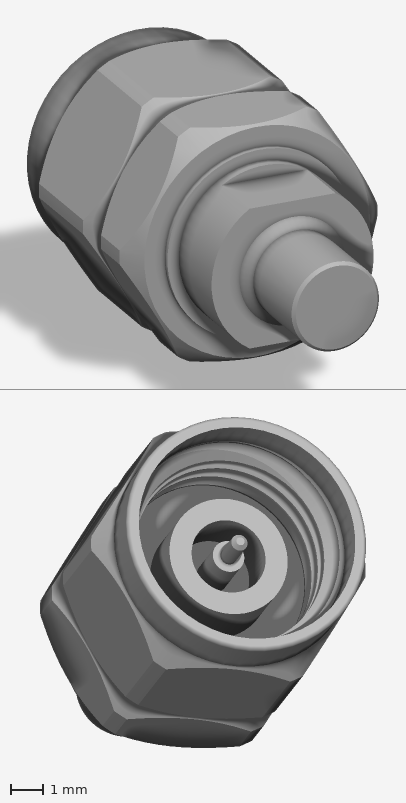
import cadquery as cq
import math

total_length = 14.61

nut_length = 8.77
across_flats = 7.92
across_corners = 8.88
rim_radius = 3.89
rim_length = 1.52
rim_fillet = 0.13
hex_split = 6.09
hex_chamfer_length = 0.66
hex_half_angle = 30.0

entry_radius = 3.5
entry_depth = 1.24
nut_floor = 4.38

thread_crest_radius = 3.01
thread_root_radius = 3.49
thread_pitch = 0.75
thread_crest_width = 0.09
thread_flank_angle = 30.0
thread_start = 0.94
thread_overcut = 0.07

collar_radius = 3.18
collar_end = 8.95
barrel_radius = 2.79
barrel_end = 11.37
barrel_flats = 4.73
barrel_flats_start = 9.3
taper_radius = 1.83
taper_end = 11.69
tail_radius = 1.5
tail_chamfer = 0.1

ferrule_radius = 1.91
ferrule_front = 2.15
socket_radius = 1.2
socket_depth = 1.9
boss_radius = 0.51
pin_radius = 0.26
pin_front = 0.76
pin_chamfer = 0.13


def cylinder(radius, start, end):
    """Solid cylinder on the X axis between two stations."""
    return cq.Workplane("YZ").workplane(offset=start).circle(radius).extrude(end - start)


def revolve_about_x(points):
    """Solid of revolution from (x, radius) points; the outline closes along the axis."""
    return cq.Workplane("XY").polyline(points).close().revolve(360, (0, 0, 0), (1, 0, 0))


def hex_section(start, end):
    """Hexagonal bar with flats facing up and down, and conical chamfers at both ends."""
    corner_diameter = across_flats / math.cos(math.radians(hex_half_angle))
    bar = cq.Workplane("YZ").workplane(offset=start).polygon(6, corner_diameter).extrude(end - start)
    corner_radius = across_corners / 2
    turned = revolve_about_x([
        (start, 0),
        (start, rim_radius),
        (start + hex_chamfer_length, corner_radius),
        (end - hex_chamfer_length, corner_radius),
        (end, rim_radius),
        (end, 0),
    ])
    return bar.intersect(turned)


def thread_groove():
    """Right-handed helical V groove that ends at the floor of the nut."""
    slope = math.tan(math.radians(thread_flank_angle))
    crest_half_width = (thread_pitch - thread_crest_width) / 2
    root_half_width = crest_half_width - (thread_root_radius - thread_crest_radius) * slope
    inner_half_width = crest_half_width + thread_overcut * slope
    inner_radius = thread_crest_radius - thread_overcut

    turns = math.ceil((nut_floor - thread_start) / thread_pitch) + 1
    helix = cq.Wire.makeHelix(thread_pitch, turns * thread_pitch, thread_crest_radius)
    groove = (
        cq.Workplane("XZ")
        .polyline([
            (inner_radius, -inner_half_width),
            (thread_root_radius, -root_half_width),
            (thread_root_radius, root_half_width),
            (inner_radius, inner_half_width),
        ])
        .close()
        .sweep(cq.Workplane(helix), isFrenet=True)
        .rotate((0, 0, 0), (0, 1, 0), 90)
        .translate((thread_start, 0, 0))
    )
    return groove.intersect(cylinder(across_corners, 0, nut_floor))


def make_coupling_nut():
    """Threaded nut with a round rim, two hexagon sections and a hole for the body."""
    rim = cylinder(rim_radius, 0, rim_length).faces("<X").edges().fillet(rim_fillet)
    nut = (
        rim
        .union(hex_section(rim_length, hex_split))
        .union(hex_section(hex_split, nut_length))
    )
    lead_in_end = entry_depth + entry_radius - thread_crest_radius
    bore = revolve_about_x([
        (0, 0),
        (0, entry_radius),
        (entry_depth, entry_radius),
        (lead_in_end, thread_crest_radius),
        (nut_floor, thread_crest_radius),
        (nut_floor, 0),
    ])
    shaft_hole = cylinder(ferrule_radius, nut_floor, nut_length)
    return nut.cut(bore).cut(thread_groove()).cut(shaft_hole)


def make_barrel():
    """Round barrel with two wrench flats, facing up and down, along its rear part."""
    flats_length = barrel_end - barrel_flats_start
    between_flats = (
        cq.Workplane("XY")
        .box(flats_length, 2 * barrel_radius, barrel_flats)
        .translate((barrel_flats_start + flats_length / 2, 0, 0))
    )
    flatted_part = cylinder(barrel_radius, barrel_flats_start, barrel_end).intersect(between_flats)
    return cylinder(barrel_radius, collar_end, barrel_flats_start).union(flatted_part)


def make_connector_body():
    """Turned body: ferrule, collar, flatted barrel and tail, with the centre pin."""
    taper_and_tail = revolve_about_x([
        (barrel_end, 0),
        (barrel_end, taper_radius),
        (taper_end, tail_radius),
        (total_length - tail_chamfer, tail_radius),
        (total_length, tail_radius - tail_chamfer),
        (total_length, 0),
    ])

    socket_floor = ferrule_front + socket_depth
    socket = cylinder(socket_radius, ferrule_front, socket_floor)
    boss = cylinder(boss_radius, ferrule_front, socket_floor)
    pin = cylinder(pin_radius, pin_front, ferrule_front).faces("<X").edges().chamfer(pin_chamfer)

    return (
        cylinder(ferrule_radius, ferrule_front, nut_length)
        .cut(socket)
        .union(boss)
        .union(pin)
        .union(cylinder(collar_radius, nut_length, collar_end))
        .union(make_barrel())
        .union(taper_and_tail)
    )


coupling_nut = make_coupling_nut()
connector_body = make_connector_body()

result = cq.Compound.makeCompound([coupling_nut.val(), connector_body.val()])